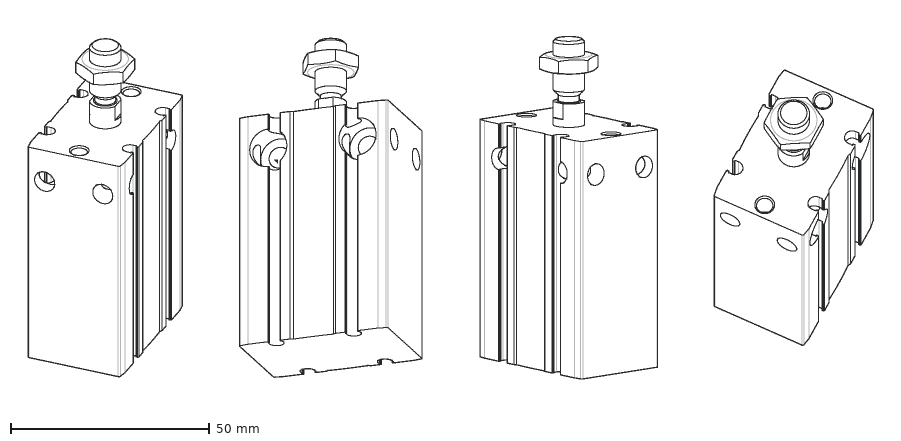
import cadquery as cq
import math

width = 26.0
depth = 40.0
height = 61.0
corner_radius = 0.4
corner_half_width = 12.65
taper_start_y = 17.5

recess_half_length = 6.1
recess_floor_half_length = 5.4
recess_depth = 0.35
recess_crown_depth = 0.2

slot_y = 10.4
slot_mouth = 3.0
slot_mouth_chamfer = 0.2
slot_lip = 0.7
slot_bore = 3.8
slot_depth = 3.6

cross_hole_diameter = 5.5
cross_hole_z = height - 9.0
hole_x_offset = 8.0
hole_y_offset = 12.0
counterbore_diameter = 10.0
counterbore_depth = 8.0

tap_diameter = 4.13
tap_mouth_diameter = 5.0
tap_depth = 8.0
tap_point_angle = 118.0
tap_y_offset = 16.5

rod_diameter = 8.0
rod_shoulder_height = 6.0
rod_flat_width = 7.0
rod_flat_height = 4.0
neck_diameter = 5.33
neck_foot_diameter = 6.0
neck_foot_height = 0.15
thread_length = 13.0
thread_root_diameter = 6.65
rod_top = 83.0

nut_sides = 6
nut_across_flats = 13.0
nut_thickness = 4.0
nut_bottom = 75.0
nut_face_diameter = 0.9 * nut_across_flats
nut_corner_drop = 0.5


def housing_outline():
    """Half-profile along the +X side, mirrored to close the full section."""
    side = width / 2
    end = depth / 2
    floor = side - recess_depth
    corner_offset = corner_radius * (1 - math.sqrt(0.5))
    half = (
        cq.Workplane("XY")
        .moveTo(0, -end)
        .lineTo(corner_half_width - corner_radius, -end)
        .threePointArc(
            (corner_half_width - corner_offset, -end + corner_offset),
            (corner_half_width, -end + corner_radius),
        )
        .lineTo(side, -taper_start_y)
        .lineTo(side, -recess_half_length)
        .lineTo(floor, -recess_floor_half_length)
        .threePointArc((side - recess_crown_depth, 0), (floor, recess_floor_half_length))
        .lineTo(side, recess_half_length)
        .lineTo(side, taper_start_y)
        .lineTo(corner_half_width, end - corner_radius)
        .threePointArc(
            (corner_half_width - corner_offset, end - corner_offset),
            (corner_half_width - corner_radius, end),
        )
        .lineTo(0, end)
    )
    return half.mirrorY()


def sensor_slot(side, y):
    """Full-height slot: chamfered narrow mouth opening into a round-bottomed channel."""
    face_x = width / 2
    bore_x = face_x - slot_depth + slot_bore / 2
    lip_x = face_x - slot_lip
    mouth = cq.Workplane("XY").center(side * (face_x + bore_x) / 2, y)
    mouth = mouth.rect(face_x - bore_x, slot_mouth).extrude(height)
    channel = cq.Workplane("XY").center(side * (lip_x + bore_x) / 2, y)
    channel = channel.rect(lip_x - bore_x, slot_bore).extrude(height)
    bottom = cq.Workplane("XY").center(side * bore_x, y).circle(slot_bore / 2).extrude(height)
    flare_root = slot_mouth / 2
    flare_edge = flare_root + slot_mouth_chamfer
    flare = (
        cq.Workplane("XY")
        .moveTo(side * face_x, y - flare_edge)
        .lineTo(side * face_x, y + flare_edge)
        .lineTo(side * (face_x - slot_mouth_chamfer), y + flare_root)
        .lineTo(side * (face_x - slot_mouth_chamfer), y - flare_root)
        .close()
        .extrude(height)
    )
    return mouth.union(channel).union(bottom).union(flare)


def hole_along_x(y):
    """Through hole across the width, counterbored on the -X side."""
    axis = cq.Workplane("YZ").center(y, cross_hole_z)
    hole = axis.circle(cross_hole_diameter / 2).extrude(width / 2, both=True)
    start = cq.Workplane("YZ", origin=(-width / 2, 0, 0)).center(y, cross_hole_z)
    return hole.union(start.circle(counterbore_diameter / 2).extrude(counterbore_depth))


def hole_along_y(x):
    """Plain through hole across the depth."""
    axis = cq.Workplane("XZ").center(x, cross_hole_z)
    return axis.circle(cross_hole_diameter / 2).extrude(depth / 2, both=True)


def tapped_hole(y):
    """Blind hole with a chamfered mouth and a drill-point bottom."""
    radius = tap_diameter / 2
    mouth_radius = tap_mouth_diameter / 2
    point_length = radius / math.tan(math.radians(tap_point_angle / 2))
    profile = [
        (0, 0),
        (mouth_radius, 0),
        (radius, radius - mouth_radius),
        (radius, -tap_depth),
        (0, -tap_depth - point_length),
    ]
    hole = cq.Workplane("XZ").polyline(profile).close().revolve(360, (0, 0), (0, 1))
    return hole.translate((0, y, height))


def make_housing():
    body = housing_outline().extrude(height)
    for end in (-1, 1):
        for side in (-1, 1):
            body = body.cut(sensor_slot(side, end * slot_y))
        body = body.cut(hole_along_x(end * hole_y_offset))
        body = body.cut(hole_along_y(end * hole_x_offset))
        body = body.cut(tapped_hole(end * tap_y_offset))
    return body


def make_rod():
    """Turned rod standing on the housing, with two wrench flats below the neck."""
    radius = rod_diameter / 2
    neck_radius = neck_diameter / 2
    shoulder_z = height + rod_shoulder_height
    thread_start = rod_top - thread_length
    tip_radius = thread_root_diameter / 2
    profile = [
        (0, height),
        (radius, height),
        (radius, shoulder_z),
        (neck_foot_diameter / 2, shoulder_z),
        (neck_radius, shoulder_z + neck_foot_height),
        (neck_radius, thread_start - (radius - neck_radius)),
        (radius, thread_start),
        (radius, rod_top - (radius - tip_radius)),
        (tip_radius, rod_top),
        (0, rod_top),
    ]
    rod = cq.Workplane("XZ").polyline(profile).close().revolve(360, (0, 0), (0, 1))
    flat_bottom = shoulder_z - rod_flat_height
    for side in (-1, 1):
        cutter = cq.Workplane("XY").box(
            rod_diameter, rod_diameter, rod_flat_height, centered=(True, True, False)
        )
        cutter_x = side * (rod_flat_width + rod_diameter) / 2
        rod = rod.cut(cutter.translate((cutter_x, 0, flat_bottom)))
    return rod


def make_nut():
    """Hexagon with corners on the Y axis and conical chamfers on both faces."""
    hex_corner_radius = nut_across_flats / 2 / math.cos(math.pi / nut_sides)
    face_radius = nut_face_diameter / 2
    nut_top = nut_bottom + nut_thickness
    hexagon = (
        cq.Workplane("XY", origin=(0, 0, nut_bottom))
        .polygon(nut_sides, 2 * hex_corner_radius)
        .extrude(nut_thickness)
        .rotate((0, 0, 0), (0, 0, 1), 180 / nut_sides)
    )
    envelope = [
        (0, nut_bottom),
        (face_radius, nut_bottom),
        (hex_corner_radius, nut_bottom + nut_corner_drop),
        (hex_corner_radius, nut_top - nut_corner_drop),
        (face_radius, nut_top),
        (0, nut_top),
    ]
    chamfered = cq.Workplane("XZ").polyline(envelope).close().revolve(360, (0, 0), (0, 1))
    bore = cq.Workplane("XY", origin=(0, 0, nut_bottom)).circle(rod_diameter / 2).extrude(nut_thickness)
    return hexagon.intersect(chamfered).cut(bore)


housing = make_housing()
rod = make_rod()
nut = make_nut()

result = cq.Compound.makeCompound([housing.val(), rod.val(), nut.val()])